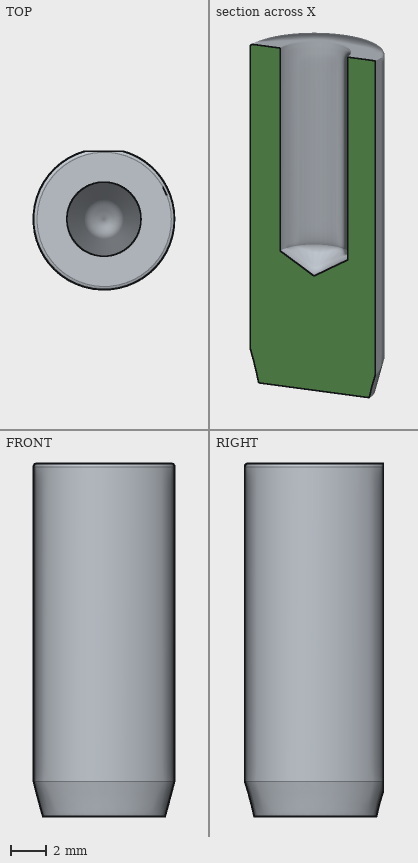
import cadquery as cq
import math

pin_diameter = 8.0
pin_length = 20.0
flat_offset = 3.85
taper_length = 2.0
taper_angle = 15.0
top_edge_radius = 0.2
hole_diameter = 4.2
hole_depth = 12.0
drill_point_angle = 120.0

pin_radius = pin_diameter / 2
hole_radius = hole_diameter / 2
tip_radius = pin_radius - taper_length * math.tan(math.radians(taper_angle))
drill_point_height = hole_radius / math.tan(math.radians(drill_point_angle / 2))


def pin_body():
    """Cylinder with a tapered lead-in at the bottom and a rounded top edge."""
    body = (
        cq.Workplane("XZ")
        .moveTo(0, 0)
        .lineTo(tip_radius, 0)
        .lineTo(pin_radius, taper_length)
        .lineTo(pin_radius, pin_length)
        .lineTo(0, pin_length)
        .close()
        .revolve()
    )
    return body.faces(">Z").edges().fillet(top_edge_radius)


def extraction_hole():
    """Blind drilled hole with a conical bottom, as a solid to cut away."""
    hole_bottom = pin_length - hole_depth
    return (
        cq.Workplane("XZ")
        .moveTo(0, pin_length)
        .lineTo(hole_radius, pin_length)
        .lineTo(hole_radius, hole_bottom)
        .lineTo(0, hole_bottom - drill_point_height)
        .close()
        .revolve()
    )


def vent_flat():
    """Block beyond the flat, as a solid to cut away over the full length."""
    return (
        cq.Workplane("XY")
        .box(pin_diameter, pin_radius, pin_length, centered=(True, False, False))
        .translate((0, flat_offset, 0))
    )


result = pin_body().cut(extraction_hole()).cut(vent_flat())